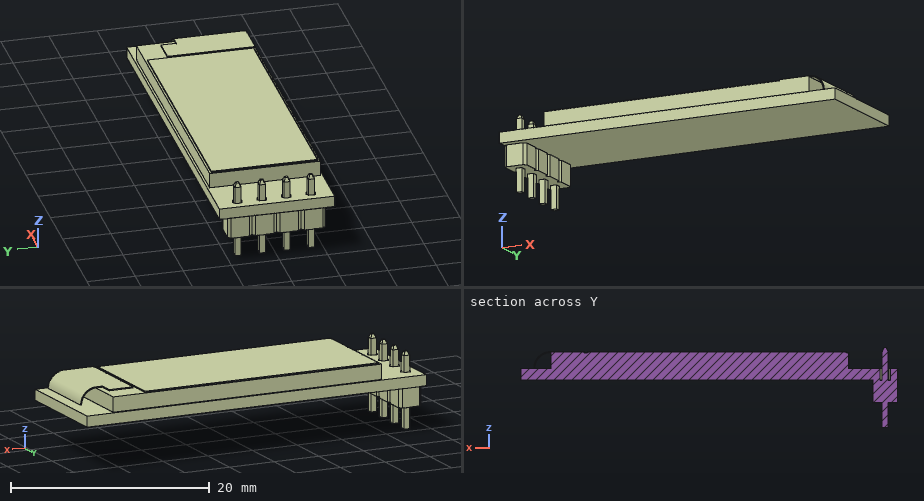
import cadquery as cq


board_length = 38.0
board_width = 12.0
board_thickness = 1.18
hole_diameter = 1.0

pin_count = 4
pin_pitch = 2.55
header_setback = 0.05
header_depth = 2.5
header_height = 2.28
header_chamfer = 0.3
header_bottom = -board_thickness - header_height

pin_width = 0.65
tip_width = 0.25
tip_height = 0.4
pin_rise = 2.13
pin_drop = 2.5
pin_bottom = header_bottom - pin_drop
pin_x = header_setback + header_depth / 2
pin_positions = [(pin_x, (i - (pin_count - 1) / 2) * pin_pitch) for i in range(pin_count)]

glass_start = 4.95
glass_end = 34.95
glass_width = 11.5
glass_height = 1.6

film_thickness = 0.1
film_inset = 0.23
film_end = 31.27

ribbon_gap = 0.3
ribbon_start = film_end + ribbon_gap
ribbon_shoulder = 34.25
ribbon_wide_edge = 3.4
ribbon_narrow_edge = 1.8
ribbon_side = -glass_width / 2
ribbon_thickness = film_thickness
bend_radius = glass_height + ribbon_thickness


def box(x_start, x_end, y_start, y_end, z_start, z_end):
    """Box between two opposite corners."""
    return (
        cq.Workplane("XY")
        .box(x_end - x_start, y_end - y_start, z_end - z_start, centered=False)
        .translate((x_start, y_start, z_start))
    )


def make_board():
    """Board with one round hole for each pin."""
    board = box(0, board_length, -board_width / 2, board_width / 2, -board_thickness, 0)
    holes = (
        cq.Workplane("XY")
        .workplane(offset=-board_thickness)
        .pushPoints(pin_positions)
        .circle(hole_diameter / 2)
        .extrude(board_thickness)
    )
    return board.cut(holes)


def make_header():
    """Row of square blocks with chamfered upright edges, joined side by side."""
    header = cq.Workplane("XY")
    for x, y in pin_positions:
        block = (
            cq.Workplane("XY", origin=(x, y, header_bottom))
            .rect(header_depth, pin_pitch)
            .extrude(header_height)
            .edges("|Z")
            .chamfer(header_chamfer)
        )
        header = header.add(block)
    return header.combine()


def make_pin(x, y):
    """Square pin with a tapered upper tip."""
    shoulder = pin_rise - tip_height
    shank = (
        cq.Workplane("XY", origin=(x, y, pin_bottom))
        .rect(pin_width, pin_width)
        .extrude(shoulder - pin_bottom)
    )
    tip = (
        cq.Workplane("XY", origin=(x, y, shoulder))
        .rect(pin_width, pin_width)
        .workplane(offset=tip_height)
        .rect(tip_width, tip_width)
        .loft(ruled=True)
    )
    return shank.union(tip)


def make_panel():
    """Glass block with a thin film set in from its edges."""
    half_width = glass_width / 2
    glass = box(glass_start, glass_end, -half_width, half_width, 0, glass_height)
    film_half_width = half_width - film_inset
    film = box(
        glass_start + film_inset,
        film_end,
        -film_half_width,
        film_half_width,
        glass_height,
        glass_height + film_thickness,
    )
    return glass.union(film)


def make_ribbon():
    """Stepped flat strip on the glass and a quarter-round bend beyond its end."""
    flat = (
        cq.Workplane("XY", origin=(0, 0, glass_height))
        .moveTo(ribbon_start, ribbon_side)
        .lineTo(glass_end, ribbon_side)
        .lineTo(glass_end, ribbon_narrow_edge)
        .lineTo(ribbon_shoulder, ribbon_narrow_edge)
        .lineTo(ribbon_shoulder, ribbon_wide_edge)
        .lineTo(ribbon_start, ribbon_wide_edge)
        .close()
        .extrude(ribbon_thickness)
    )
    bend_width = ribbon_narrow_edge - ribbon_side
    tube = (
        cq.Workplane("XZ", origin=(glass_end, ribbon_narrow_edge, 0))
        .circle(bend_radius)
        .circle(glass_height)
        .extrude(bend_width)
    )
    quarter = box(
        glass_end, glass_end + bend_radius, ribbon_side, ribbon_narrow_edge, 0, bend_radius
    )
    return flat.union(tube.intersect(quarter))


result = make_board().union(make_header()).union(make_panel()).union(make_ribbon())
for pin_place in pin_positions:
    result = result.union(make_pin(*pin_place))